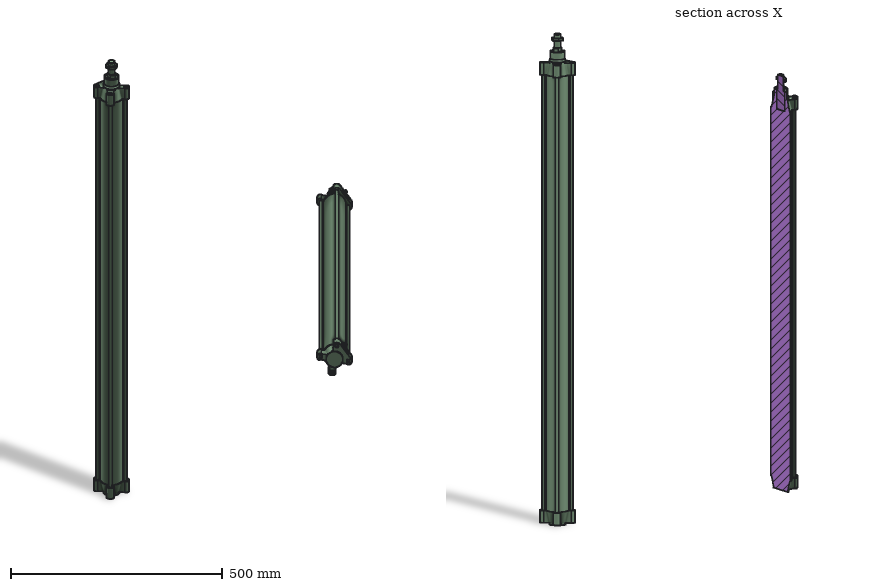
import cadquery as cq
import math

TOTAL_LENGTH = 1179.0
REAR_COLLAR_LENGTH = 4.0
FRONT_FACE_Z = 1111.0
CAP_LENGTH = 30.0
FRONT_CAP_Z = FRONT_FACE_Z - CAP_LENGTH
REAR_CAP_END_Z = REAR_COLLAR_LENGTH + CAP_LENGTH

CAP_WIDTH = 65.0
HALF_WIDTH = CAP_WIDTH / 2
CAP_CORNER_RADIUS = 10.0

RECESS_TURNS = (0, 180, 270)
RECESS_HALF_WIDTH = 18.0
RECESS_WALL_Y = 28.0
RECESS_FILLET = 5.0
LUG_EDGE_RADIUS = 4.0
CORE_OUTER_RADIUS = 20.0
CORE_INNER_RADIUS = 26.0

BARREL_DIAMETER = 54.0
TIE_ROD_DIAMETER = 8.0
TIE_ROD_PITCH_CIRCLE = 66.0
TIE_ROD_SPACING = TIE_ROD_PITCH_CIRCLE / math.sqrt(2)
SCREW_HOLE_DEPTH = 6.0

PORT_Y = -4.0
PORT_DIAMETER = 11.4
PORT_DEPTH = 11.0
SPOT_DIAMETER = 19.0
SPOT_DEPTH = 1.0
VALVE_Y = 8.8
VALVE_INSET = 22.0
VALVE_BOSS_DIAMETER = 14.0
VALVE_BOSS_HEIGHT = 2.0
VALVE_PIN_DIAMETER = 6.0
VALVE_PIN_HEIGHT = 8.0

COLLAR_DIAMETER = 40.0
FRONT_COLLAR_TOP_Z = 1114.0
FLARE_TOP_Z = 1120.0
BOSS_DIAMETER = 35.0
BOSS_TOP_Z = 1138.0
WIPER_DIAMETER = 31.0
WIPER_DEPTH = 1.0

ROD_DIAMETER = 20.0
ROD_SHOULDER_Z = 1147.0
SHOULDER_CHAMFER = 1.8
ACROSS_FLATS = 17.0
THREAD_DIAMETER = 17.0
THREAD_CHAMFER = 1.0

NUT_ACROSS_CORNERS = 28.0
NUT_HEIGHT = 6.0
NUT_BOTTOM_Z = 1164.0


def cylinder(diameter, bottom, top):
    """Upright cylinder on the main axis."""
    return cq.Workplane("XY", origin=(0, 0, bottom)).circle(diameter / 2).extrude(top - bottom)


def side_cylinder(diameter, x_start, x_end, y, z):
    """Cylinder parallel to X."""
    return cq.Workplane("YZ", origin=(x_start, y, z)).circle(diameter / 2).extrude(x_end - x_start)


def turned(profile):
    """Solid of revolution about Z from a list of (radius, z) points."""
    return cq.Workplane("XZ").polyline(profile).close().revolve(360, (0, 0, 0), (0, 1, 0))


def four_rods(diameter, bottom, length):
    """Four upright cylinders at the tie rod positions."""
    return (
        cq.Workplane("XY", origin=(0, 0, bottom))
        .rect(TIE_ROD_SPACING, TIE_ROD_SPACING, forConstruction=True)
        .vertices()
        .circle(diameter / 2)
        .extrude(length)
    )


def side_recess():
    """Cutter for the recess on the +Y side of a cap that lies with its outer face on Z = 0."""
    apex_y = RECESS_WALL_Y - RECESS_HALF_WIDTH
    outline = [
        (-RECESS_HALF_WIDTH, HALF_WIDTH),
        (-RECESS_HALF_WIDTH, RECESS_WALL_Y),
        (0, apex_y),
        (RECESS_HALF_WIDTH, RECESS_WALL_Y),
        (RECESS_HALF_WIDTH, HALF_WIDTH),
    ]
    core = turned([
        (0, 0),
        (CORE_OUTER_RADIUS, 0),
        (CORE_INNER_RADIUS, CAP_LENGTH),
        (0, CAP_LENGTH),
    ])
    cutter = cq.Workplane("XY").polyline(outline).close().extrude(CAP_LENGTH).cut(core)
    wall_edges = cq.selectors.BoxSelector(
        (-RECESS_HALF_WIDTH, apex_y, CAP_LENGTH / 4),
        (RECESS_HALF_WIDTH, CORE_INNER_RADIUS, CAP_LENGTH * 3 / 4),
    )
    return cutter.edges(wall_edges).fillet(RECESS_FILLET)


def lugged_block():
    """Square block with rounded corners and the recesses that leave four corner lugs."""
    block = cq.Workplane("XY").rect(CAP_WIDTH, CAP_WIDTH).extrude(CAP_LENGTH)
    block = block.edges("|Z").fillet(CAP_CORNER_RADIUS)
    recess = side_recess()
    for side in (-1, 1):
        mouth = (side * RECESS_HALF_WIDTH, HALF_WIDTH)
        flare = (
            cq.Workplane("XY")
            .moveTo(*mouth)
            .lineTo(mouth[0] + side * LUG_EDGE_RADIUS, HALF_WIDTH)
            .radiusArc((mouth[0], HALF_WIDTH - LUG_EDGE_RADIUS), side * -LUG_EDGE_RADIUS)
            .close()
            .extrude(CAP_LENGTH)
        )
        recess = recess.union(flare)
    for turn in RECESS_TURNS:
        block = block.cut(recess.rotate((0, 0, 0), (0, 0, 1), turn))
    return block


def end_cap():
    """Cap with its outer face on Z = 0 and its barrel side at Z = CAP_LENGTH."""
    cap = lugged_block().cut(four_rods(TIE_ROD_DIAMETER, 0, SCREW_HOLE_DEPTH))

    side_x = -HALF_WIDTH
    port_z = CAP_LENGTH / 2
    spot_floor_x = side_x + SPOT_DEPTH
    spot = side_cylinder(SPOT_DIAMETER, side_x, spot_floor_x, PORT_Y, port_z)
    port = side_cylinder(PORT_DIAMETER, side_x, side_x + PORT_DEPTH, PORT_Y, port_z)

    boss_x = side_x - VALVE_BOSS_HEIGHT
    pin_x = side_x - VALVE_PIN_HEIGHT
    boss = side_cylinder(VALVE_BOSS_DIAMETER, boss_x, spot_floor_x, VALVE_Y, VALVE_INSET)
    pin = side_cylinder(VALVE_PIN_DIAMETER, pin_x, spot_floor_x, VALVE_Y, VALVE_INSET)
    return cap.cut(spot).cut(port).union(boss).union(pin)


def front_boss():
    """Collar that flares down from the boss, with a wiper seat in the boss end."""
    boss = turned([
        (0, FRONT_FACE_Z),
        (COLLAR_DIAMETER / 2, FRONT_FACE_Z),
        (COLLAR_DIAMETER / 2, FRONT_COLLAR_TOP_Z),
        (BOSS_DIAMETER / 2, FLARE_TOP_Z),
        (BOSS_DIAMETER / 2, BOSS_TOP_Z),
        (0, BOSS_TOP_Z),
    ])
    return boss.cut(cylinder(WIPER_DIAMETER, BOSS_TOP_Z - WIPER_DEPTH, BOSS_TOP_Z))


def make_housing():
    """Barrel, tie rods, both end caps, rear collar and front boss, bored for the piston rod."""
    barrel_length = FRONT_CAP_Z - REAR_CAP_END_Z
    rear_cap = end_cap().translate((0, 0, REAR_COLLAR_LENGTH))
    front_cap = end_cap().mirror("XY").translate((0, 0, FRONT_FACE_Z))
    body = cylinder(BARREL_DIAMETER, REAR_CAP_END_Z, FRONT_CAP_Z)
    body = body.union(rear_cap).union(front_cap)
    body = body.union(four_rods(TIE_ROD_DIAMETER, REAR_CAP_END_Z, barrel_length))
    body = body.union(cylinder(COLLAR_DIAMETER, 0, REAR_COLLAR_LENGTH))
    body = body.union(front_boss())
    return body.cut(cylinder(ROD_DIAMETER, FRONT_CAP_Z, BOSS_TOP_Z))


def make_piston_rod():
    """Rod from the barrel side of the front cap, with two wrench flats and a threaded end."""
    shank = cylinder(ROD_DIAMETER, FRONT_CAP_Z, ROD_SHOULDER_Z)
    shank = shank.faces(">Z").chamfer(SHOULDER_CHAMFER)
    flats = (
        cq.Workplane("XY", origin=(0, 0, BOSS_TOP_Z))
        .rect(2 * ROD_DIAMETER, 2 * ROD_DIAMETER)
        .rect(2 * ROD_DIAMETER, ACROSS_FLATS)
        .extrude(ROD_SHOULDER_Z - BOSS_TOP_Z)
    )
    thread = cylinder(THREAD_DIAMETER, ROD_SHOULDER_Z, TOTAL_LENGTH)
    thread = thread.faces(">Z").chamfer(THREAD_CHAMFER)
    return shank.cut(flats).union(thread)


def make_lock_nut():
    """Hexagon nut with corners on the X axis, bored to fit the threaded end."""
    return (
        cq.Workplane("XY", origin=(0, 0, NUT_BOTTOM_Z))
        .polygon(6, NUT_ACROSS_CORNERS)
        .circle(THREAD_DIAMETER / 2)
        .extrude(NUT_HEIGHT)
    )


housing = make_housing()
piston_rod = make_piston_rod()
lock_nut = make_lock_nut()
result = cq.Compound.makeCompound([housing.val(), piston_rod.val(), lock_nut.val()])